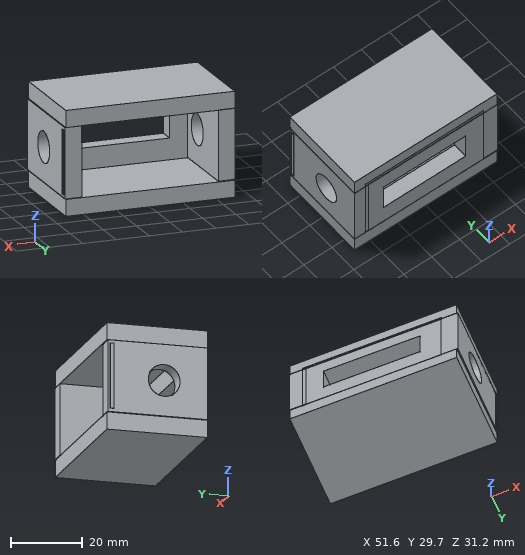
import cadquery as cq

board = 5.05
height = 31.25
inner_top = height / 2 - board
inner_bottom = -inner_top

lid_length = 50.9
lid_depth = 29.5
lid_turn = -0.17
lid_shift = -0.1

end_outer = 25.65
end_inner = end_outer - board
front_face = -14.75
left_back = 14.55
right_back = 14.7
end_gap = 0.15
hole_diameter = 9.3
hole_y = -1.95

strip_width = 1.1
strip_height = 19.1
strip_y = 13.35
strip_z = 0.1
strip_rise = 25.8 - end_outer

left_seat = 1.1
top_seat = 0.95
seat_setback = 0.1
window_length = 29.4
window_height = 9.3


def block(x0, x1, y0, y1, z0, z1):
    """Box between two opposite corners."""
    return cq.Workplane("XY").box(x1 - x0, y1 - y0, z1 - z0, centered=False).translate((x0, y0, z0))


def make_lid(bottom):
    """Rectangular lid whose lower face is at the given height."""
    lid = cq.Workplane("XY").box(lid_length, lid_depth, board, centered=(True, True, False))
    return lid.rotate((0, 0, 0), (0, 0, 1), lid_turn).translate((lid_shift, 0, bottom))


def make_end(side, back):
    """End board with a round hole and a raised strip; side is -1 (left) or 1 (right)."""
    x0, x1 = sorted((side * end_inner, side * end_outer))
    end = block(x0, x1, front_face, back, inner_bottom + end_gap, inner_top)
    hole = cq.Workplane("YZ").center(hole_y, 0).circle(hole_diameter / 2).extrude(end_outer, both=True)
    strip_x0, strip_x1 = sorted((side * end_inner, side * (end_outer + strip_rise)))
    strip = block(
        strip_x0, strip_x1,
        strip_y - strip_width / 2, strip_y + strip_width / 2,
        strip_z - strip_height / 2, strip_z + strip_height / 2,
    )
    return end.cut(hole).union(strip)


def make_front_panel():
    """Front board with a window in its middle and a shallow step along its seated edges."""
    left = -end_inner - left_seat
    top = inner_top + top_seat
    back = front_face + board
    face = block(-end_inner, end_inner, front_face, back, inner_bottom, inner_top)
    seated = block(left, end_inner, front_face + seat_setback, back, inner_bottom, top)
    panel = face.union(seated)
    middle_x = (left + end_inner) / 2
    middle_z = (inner_bottom + top) / 2
    window = cq.Workplane("XY").box(window_length, 3 * board, window_height)
    return panel.cut(window.translate((middle_x, front_face + board / 2, middle_z)))


front_panel = make_front_panel()
bottom_lid = make_lid(-height / 2)
top_lid = make_lid(inner_top).cut(front_panel)
left_end = make_end(-1, left_back).cut(front_panel)
right_end = make_end(1, right_back)

bodies = (bottom_lid, top_lid, left_end, right_end, front_panel)
result = cq.Compound.makeCompound([body.val() for body in bodies])